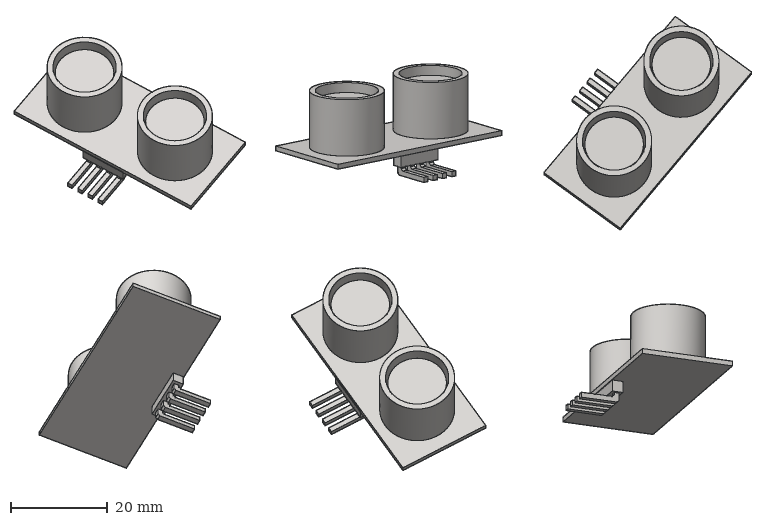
import cadquery as cq

board_length = 44.0
board_width = 20.0
board_thickness = 1.05

can_spacing = 22.5
can_height = 12.0
can_radius = 7.75
bore_radius = 6.5
core_radius = 6.05
core_recess = 2.0

header_length = 10.0
header_width = 2.35
header_height = 2.4
header_inset = 0.15

pin_count = 4
pin_pitch = 2.5
pin_size = 1.1
pin_drop = 2.02
pin_reach = 6.45
pin_inset = 1.95
bend_chamfer = 0.45

front_edge = -board_width / 2
board_bottom = -board_thickness
header_bottom = board_bottom - header_height


def make_board():
    return cq.Workplane("XY").box(
        board_length, board_width, board_thickness, centered=(True, True, False)
    ).translate((0, 0, board_bottom))


def make_can(x):
    """Open tube with a recessed core separated from its wall by an annular gap."""
    tube = cq.Workplane("XY").circle(can_radius).circle(bore_radius).extrude(can_height)
    core = cq.Workplane("XY").circle(core_radius).extrude(can_height - core_recess)
    return tube.union(core).translate((x, 0, 0))


def make_header():
    return cq.Workplane("XY").box(
        header_length, header_width, header_height, centered=(True, False, False)
    ).translate((0, front_edge + header_inset, header_bottom))


def make_pin(x):
    """Square pin that drops from the header and bends forward with chamfered corners."""
    back = front_edge + pin_inset
    front = back - pin_size
    tip = front_edge - pin_reach
    bottom = header_bottom - pin_drop
    top = bottom + pin_size
    profile = [
        (back, header_bottom),
        (back, bottom + bend_chamfer),
        (back - bend_chamfer, bottom),
        (tip, bottom),
        (tip, top),
        (front - bend_chamfer, top),
        (front, top + bend_chamfer),
        (front, header_bottom),
    ]
    pin = cq.Workplane("YZ").polyline(profile).close().extrude(pin_size / 2, both=True)
    return pin.translate((x, 0, 0))


result = make_board().union(make_header())
for side in (-1, 1):
    result = result.union(make_can(side * can_spacing / 2))
for index in range(pin_count):
    result = result.union(make_pin((index - (pin_count - 1) / 2) * pin_pitch))